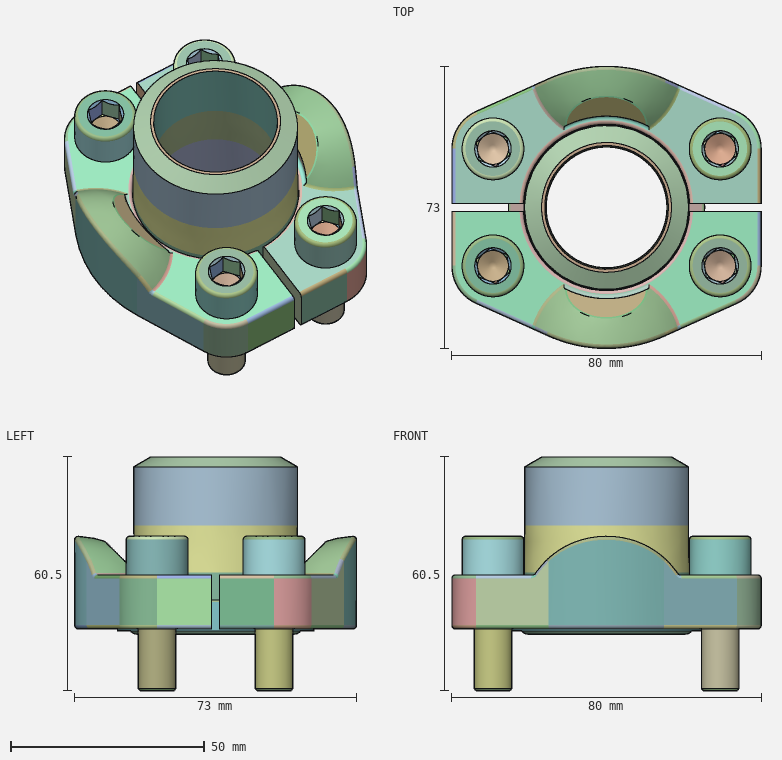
import cadquery as cq
import math


screw_x = 29.4
screw_y = 15.1

clamp_length = 80.0
clamp_width = 73.0
plate_height = 14.0
split_gap = 2.0
edge_radius = 1.0
neck_hole_dia = 43.0
screw_hole_dia = 10.5

side_radius = clamp_width / 2
corner_radius = clamp_length / 2 - screw_x
min_outline_radius = 30.4
tolerance = 0.01

dome_radius = 24.0
dome_y = clamp_width / 2
relief_offset = 5.9
dome_clearance_dia = 47.2

head_dia = 50.8
head_bottom_z = -0.5
head_top_z = 7.5
head_edge_radius = 0.6
neck_top_z = 44.5
pipe_dia = 42.4
pipe_bore = 32.0
neck_root_dia = 42.7
neck_root_bore = 31.2
pipe_bottom_z = 26.6
root_top_z = 14.5
bevel_top_dia = 33.6
bevel_height = 2.6

groove_outer_dia = 44.6
groove_inner_dia = 36.9
ring_bottom_z = -1.4

ring_cord_dia = (groove_outer_dia - groove_inner_dia) / 2
ring_centre_radius = (groove_outer_dia + groove_inner_dia) / 4
groove_floor_z = ring_bottom_z + ring_cord_dia

screw_head_dia = 16.0
screw_head_height = 10.0
screw_head_radius = 1.0
shank_dia = 9.8
shank_length = 30.0
shank_tip_chamfer = 0.6
socket_flats = 8.0
socket_depth = 6.4
socket_cone_depth = 2.4
socket_mouth_dia = 9.4
socket_turn = 39.0

socket_corner_dia = socket_flats / math.cos(math.radians(30))


def clamp_outline():
    """Outline tangent to the corner arcs about the screws and the side arcs about the origin."""
    reach = math.hypot(screw_x, screw_y)
    tilt = math.atan2(screw_x, screw_y) - math.acos((side_radius - corner_radius) / reach)
    side_x = side_radius * math.sin(tilt)
    side_y = side_radius * math.cos(tilt)
    slope_x = screw_x + corner_radius * math.sin(tilt)
    slope_y = screw_y + corner_radius * math.cos(tilt)
    corner_angle = (math.pi / 2 - tilt) / 2
    middle_x = screw_x + corner_radius * math.cos(corner_angle)
    middle_y = screw_y + corner_radius * math.sin(corner_angle)
    end_x = clamp_length / 2
    return (
        cq.Workplane("XY")
        .moveTo(end_x, -screw_y)
        .lineTo(end_x, screw_y)
        .threePointArc((middle_x, middle_y), (slope_x, slope_y))
        .lineTo(side_x, side_y)
        .threePointArc((0, side_radius), (-side_x, side_y))
        .lineTo(-slope_x, slope_y)
        .threePointArc((-middle_x, middle_y), (-end_x, screw_y))
        .lineTo(-end_x, -screw_y)
        .threePointArc((-middle_x, -middle_y), (-slope_x, -slope_y))
        .lineTo(-side_x, -side_y)
        .threePointArc((0, -side_radius), (side_x, -side_y))
        .lineTo(slope_x, -slope_y)
        .threePointArc((middle_x, -middle_y), (end_x, -screw_y))
        .close()
    )


def is_relief_edge(edge):
    """True for the arc where the relief plane meets the sphere."""
    middle = edge.positionAt(0.5)
    on_plane = abs(middle.y - relief_offset - middle.z) < tolerance
    on_sphere = abs(math.hypot(middle.y - dome_y, middle.z) - dome_radius) < tolerance
    return on_plane and on_sphere and abs(middle.x) < tolerance


def make_dome():
    """Spherical dome on the +Y side, cut back at 45 degrees and then upright towards the neck."""
    sphere = cq.Workplane("XY").sphere(dome_radius, direct=(0, 1, 0)).translate((0, dome_y, 0))
    kept = (
        cq.Workplane("YZ")
        .moveTo(relief_offset, 0)
        .lineTo(clamp_width, 0)
        .lineTo(clamp_width, clamp_width - relief_offset)
        .close()
        .extrude(dome_radius, both=True)
    )
    clearance = cq.Workplane("XY").circle(dome_clearance_dia / 2).extrude(2 * dome_radius)
    dome = clamp_outline().extrude(2 * dome_radius).intersect(sphere).intersect(kept).cut(clearance)
    return dome.edges().filter(is_relief_edge).fillet(edge_radius)


def is_dome_foot(edge):
    middle = edge.positionAt(0.5)
    box = edge.BoundingBox()
    level = abs(box.zmin - plate_height) < tolerance and abs(box.zmax - plate_height) < tolerance
    on_wall = abs(math.hypot(middle.x, middle.y) - dome_clearance_dia / 2) < tolerance
    foot_radius = math.sqrt(dome_radius**2 - plate_height**2)
    on_sphere = abs(math.hypot(middle.x, middle.y - dome_y) - foot_radius) < tolerance
    return level and (on_wall or on_sphere)


def is_neck_hole_rim(edge):
    middle = edge.positionAt(0.5)
    on_hole = abs(math.hypot(middle.x, middle.y) - neck_hole_dia / 2) < tolerance
    return on_hole and edge.BoundingBox().zmin > plate_height - tolerance


def is_outer_top_edge(edge):
    middle = edge.positionAt(0.5)
    outside_screws = math.hypot(middle.x, middle.y) > min_outline_radius
    on_top = edge.BoundingBox().zmin > plate_height - tolerance
    return on_top and outside_screws and middle.y > tolerance


def is_outer_bottom_edge(edge):
    middle = edge.positionAt(0.5)
    outside_head = math.hypot(middle.x, middle.y) > head_dia / 2
    return edge.BoundingBox().zmax < tolerance and outside_head and middle.y > tolerance


def make_clamp_half():
    """The +Y half of the clamp, bored and recessed for the neck and drilled for two screws."""
    beyond_middle = cq.Workplane("XY").box(
        clamp_length, clamp_width, 2 * dome_radius, centered=(True, False, False)
    )
    beyond_gap = beyond_middle.translate((0, split_gap / 2, 0))
    neck_hole = cq.Workplane("XY").circle(neck_hole_dia / 2).extrude(2 * dome_radius)
    head_recess = cq.Workplane("XY").circle(head_dia / 2).extrude(head_top_z)
    screw_holes = (
        cq.Workplane("XY")
        .pushPoints([(-screw_x, screw_y), (screw_x, screw_y)])
        .circle(screw_hole_dia / 2)
        .extrude(plate_height)
    )

    half = clamp_outline().extrude(plate_height).cut(neck_hole).intersect(beyond_middle)
    half = half.union(make_dome())
    half = half.edges().filter(is_dome_foot).fillet(edge_radius)
    half = half.edges().filter(is_outer_top_edge).fillet(edge_radius)
    half = half.edges().filter(is_neck_hole_rim).fillet(edge_radius)
    half = half.edges().filter(is_outer_bottom_edge).fillet(edge_radius)
    return half.cut(head_recess).cut(screw_holes).intersect(beyond_gap)


def make_neck():
    """Pipe end with welding bevel, a slightly tapered root and a head with an O-ring groove."""
    pipe_radius = pipe_dia / 2
    root_radius = neck_root_dia / 2
    head_radius = head_dia / 2
    neck = (
        cq.Workplane("XZ")
        .moveTo(neck_root_bore / 2, head_bottom_z)
        .lineTo(groove_inner_dia / 2, head_bottom_z)
        .lineTo(groove_inner_dia / 2, groove_floor_z)
        .lineTo(groove_outer_dia / 2, groove_floor_z)
        .lineTo(groove_outer_dia / 2, head_bottom_z)
        .lineTo(head_radius, head_bottom_z)
        .lineTo(head_radius, head_top_z - head_edge_radius)
        .radiusArc((head_radius - head_edge_radius, head_top_z), -head_edge_radius)
        .lineTo(root_radius, head_top_z)
        .lineTo(root_radius, root_top_z)
        .lineTo(pipe_radius, pipe_bottom_z)
        .lineTo(pipe_radius, neck_top_z - bevel_height)
        .lineTo(bevel_top_dia / 2, neck_top_z)
        .lineTo(pipe_bore / 2, neck_top_z)
        .lineTo(pipe_bore / 2, pipe_bottom_z)
        .lineTo(neck_root_bore / 2, root_top_z)
        .close()
        .revolve(360, (0, 0, 0), (0, 1, 0))
    )
    return neck


def make_o_ring():
    """Round-section ring that rests on both walls and the floor of the groove."""
    return cq.Workplane(
        cq.Solid.makeTorus(
            ring_centre_radius, ring_cord_dia / 2, cq.Vector(0, 0, ring_bottom_z + ring_cord_dia / 2)
        )
    )


def make_screw():
    """Socket head screw on the Z axis, its head resting on the clamp."""
    head_top_z_local = plate_height + screw_head_height
    head = (
        cq.Workplane("XY", origin=(0, 0, plate_height))
        .circle(screw_head_dia / 2)
        .extrude(screw_head_height)
        .faces(">Z")
        .edges()
        .fillet(screw_head_radius)
    )
    shank = (
        cq.Workplane("XY", origin=(0, 0, plate_height))
        .circle(shank_dia / 2)
        .extrude(-shank_length)
        .faces("<Z")
        .edges()
        .chamfer(shank_tip_chamfer)
    )
    socket = (
        cq.Workplane("XY", origin=(0, 0, head_top_z_local - socket_depth))
        .transformed(rotate=(0, 0, socket_turn))
        .polygon(6, socket_corner_dia)
        .extrude(socket_depth)
    )
    mouth_radius = socket_mouth_dia / 2
    mouth_and_point = (
        cq.Workplane("XZ")
        .moveTo(0, head_top_z_local - socket_depth - socket_cone_depth)
        .lineTo(socket_flats / 2, head_top_z_local - socket_depth)
        .lineTo(socket_flats / 2, head_top_z_local - (socket_mouth_dia - socket_flats) / 2)
        .lineTo(mouth_radius, head_top_z_local)
        .lineTo(0, head_top_z_local)
        .close()
        .revolve(360, (0, 0, 0), (0, 1, 0))
    )
    return head.union(shank).cut(socket).cut(mouth_and_point)


clamp_halves = []
for turn in (0, 180):
    clamp_halves.append(make_clamp_half().rotate((0, 0, 0), (0, 0, 1), turn))

screws = []
for side_x in (-1, 1):
    for side_y in (-1, 1):
        screws.append(make_screw().translate((side_x * screw_x, side_y * screw_y, 0)))

neck = make_neck()
o_ring = make_o_ring()

result = cq.Compound.makeCompound([
    *[half.val() for half in clamp_halves],
    *[screw.val() for screw in screws],
    neck.val(),
    o_ring.val(),
])